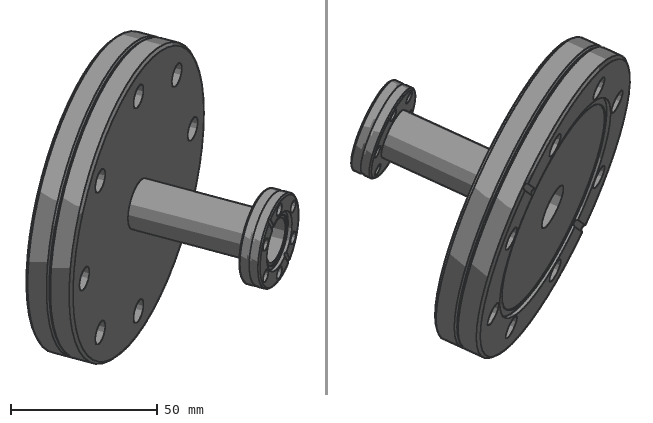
import cadquery as cq
import math

TOTAL_LENGTH = 70.0
BORE_DIAMETER = 16.0
TUBE_DIAMETER = 18.0

LARGE_DIAMETER = 113.5
LARGE_THICKNESS = 17.5
LARGE_CHAMFER = 1.0
LARGE_RIM_GROOVE_WIDTH = 1.5
LARGE_RIM_GROOVE_DEPTH = 0.6
LARGE_HOLE_COUNT = 8
LARGE_HOLE_DIAMETER = 8.4
LARGE_BOLT_CIRCLE = 92.2
LARGE_RECESS_DIAMETER = 82.5
LARGE_KNIFE_DIAMETER = 77.2
LARGE_LEAK_GROOVE_RADIUS = 1.4

SMALL_DIAMETER = 34.0
SMALL_THICKNESS = 7.8
SMALL_CHAMFER = 0.6
SMALL_RIM_GROOVE_WIDTH = 1.7
SMALL_RIM_GROOVE_DEPTH = 0.2
SMALL_HOLE_COUNT = 6
SMALL_HOLE_DIAMETER = 4.4
SMALL_BOLT_CIRCLE = 27.0
SMALL_RECESS_DIAMETER = 21.5
SMALL_KNIFE_DIAMETER = 18.3
SMALL_LEAK_GROOVE_RADIUS = 0.9

RECESS_DEPTH = 1.5
KNIFE_ANGLE = 20.0
KNIFE_STEP = 0.5
KNIFE_STEP_TAPER = 0.1

LEAK_GROOVE_AXIS_OFFSET = 0.5

LEAK_GROOVE_OVERLAP = 0.6


def revolve_about_x(points):
    """Solid of revolution about the X axis from (x, radius) points."""
    return cq.Workplane("XY").polyline(points).close().revolve(360, (0, 0, 0), (1, 0, 0))


def rod_along_x(diameter, length):
    return cq.Workplane("YZ").circle(diameter / 2).extrude(length)


def flange_blank(diameter, thickness, chamfer, groove_width, groove_depth):
    """Chamfered disc with a V groove around the middle of its rim."""
    radius = diameter / 2
    middle = thickness / 2
    return revolve_about_x([
        (0, 0),
        (0, radius - chamfer),
        (chamfer, radius),
        (middle - groove_width / 2, radius),
        (middle, radius - groove_depth),
        (middle + groove_width / 2, radius),
        (thickness - chamfer, radius),
        (thickness, radius - chamfer),
        (thickness, 0),
    ])


def sealing_recess(recess_diameter, knife_diameter):
    """Cutter that leaves a ring-shaped knife edge, sloped on its outer side."""
    recess_radius = recess_diameter / 2
    knife_radius = knife_diameter / 2
    slope_height = (recess_radius - knife_radius) * math.tan(math.radians(KNIFE_ANGLE))
    tip_depth = RECESS_DEPTH - slope_height
    face_depth = tip_depth + KNIFE_STEP
    return revolve_about_x([
        (0, 0),
        (0, recess_radius),
        (RECESS_DEPTH, recess_radius),
        (tip_depth, knife_radius),
        (face_depth, knife_radius - KNIFE_STEP_TAPER),
        (face_depth, 0),
    ])


def bolt_holes(count, hole_diameter, circle_diameter, length):
    return (
        cq.Workplane("YZ")
        .polarArray(circle_diameter / 2, 90, 360, count)
        .circle(hole_diameter / 2)
        .extrude(length)
    )


def leak_grooves(flange_diameter, recess_diameter, groove_radius, angle):
    """Two opposite round-bottomed radial grooves, turned by angle from Z toward +Y."""
    inner_radius = recess_diameter / 2 - LEAK_GROOVE_OVERLAP
    groove = (
        cq.Workplane("XY", origin=(-LEAK_GROOVE_AXIS_OFFSET, 0, inner_radius))
        .circle(groove_radius)
        .extrude(flange_diameter / 2 - inner_radius)
    )
    return [groove.rotate((0, 0, 0), (1, 0, 0), turn - angle) for turn in (0, 180)]


def flange(diameter, thickness, chamfer, groove_width, groove_depth,
           hole_count, hole_diameter, bolt_circle, recess_diameter, knife_diameter,
           leak_groove_radius):
    """Flange with its sealing face at X = 0; leak grooves lie halfway between holes."""
    body = flange_blank(diameter, thickness, chamfer, groove_width, groove_depth)
    body = body.cut(sealing_recess(recess_diameter, knife_diameter))
    body = body.cut(bolt_holes(hole_count, hole_diameter, bolt_circle, thickness))
    for groove in leak_grooves(diameter, recess_diameter, leak_groove_radius, 180 / hole_count):
        body = body.cut(groove)
    return body


large_flange = flange(
    LARGE_DIAMETER, LARGE_THICKNESS, LARGE_CHAMFER,
    LARGE_RIM_GROOVE_WIDTH, LARGE_RIM_GROOVE_DEPTH,
    LARGE_HOLE_COUNT, LARGE_HOLE_DIAMETER, LARGE_BOLT_CIRCLE,
    LARGE_RECESS_DIAMETER, LARGE_KNIFE_DIAMETER,
    LARGE_LEAK_GROOVE_RADIUS,
)

small_flange = flange(
    SMALL_DIAMETER, SMALL_THICKNESS, SMALL_CHAMFER,
    SMALL_RIM_GROOVE_WIDTH, SMALL_RIM_GROOVE_DEPTH,
    SMALL_HOLE_COUNT, SMALL_HOLE_DIAMETER, SMALL_BOLT_CIRCLE,
    SMALL_RECESS_DIAMETER, SMALL_KNIFE_DIAMETER,
    SMALL_LEAK_GROOVE_RADIUS,
).rotate((0, 0, 0), (0, 0, 1), 180).translate((TOTAL_LENGTH, 0, 0))

tube_length = TOTAL_LENGTH - LARGE_THICKNESS - SMALL_THICKNESS
tube = rod_along_x(TUBE_DIAMETER, tube_length).translate((LARGE_THICKNESS, 0, 0))

bore = rod_along_x(BORE_DIAMETER, TOTAL_LENGTH)
result = large_flange.union(tube).union(small_flange).cut(bore)